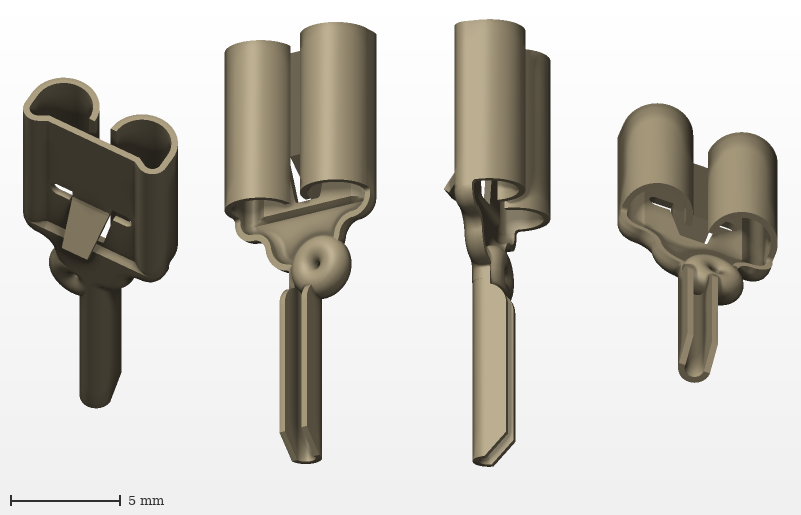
import cadquery as cq
import math

sheet = 0.3
half_width = 3.7
total_height = 20.0
barrel_bottom = 12.32
ramp_bottom = 12.08
pin_top = 8.6

corner_radius = 0.7
curl_radius = 1.65
curl_center_y = 1.35
floor_rise = 0.3
floor_half_width = 2.3
floor_slope = 30.0
lip_height = 1.0
lip_fillet = 0.18

shoulder_radius = 0.98
waist_radius = 0.7
bulge_radius = 1.48
throat_radius = 0.1
throat_z = 9.15

bead_radius = 0.72
bead_ring_radius = 0.78
bead_center_y = bead_radius

pin_width = 1.5
pin_radius = pin_width / 2
pin_depth = 1.78
pin_tip_chamfer_height = 1.08
pin_shoulder_z = 7.3
pin_shoulder_radius = 1.05

slot_z = 15.1
slot_height = 0.75
slot_reach = 2.15
hinge_half_width = 0.98
tab_tip_half_width = 0.65
tab_bend_y = 0.22
tab_bend_z = 14.95
tab_tip_z = 13.12
tab_tip_y = -1.2
window_top_half_width = 1.15
window_bottom_half_width = 0.65
window_bottom = 12.62
window_corner = 0.15

corner_x = half_width - corner_radius
curl_x = half_width - curl_radius


def polar(center, radius, degrees):
    angle = math.radians(degrees)
    return (center[0] + radius * math.cos(angle), center[1] + radius * math.sin(angle))


def mirrored(point):
    return (-point[0], point[1])


def bent_floor(sketch, rise, slope, inset, reverse):
    """Draw both wall feet, corners and slopes and the floor between; reverse runs right to left."""
    side = 1 if reverse else -1
    center = (corner_x, corner_radius)
    radius = corner_radius - inset
    wall_foot = (half_width - inset, corner_radius)
    corner_mid = polar(center, radius, -(90 + slope) / 2)
    corner_end = polar(center, radius, -90 - slope)
    floor_y = rise + inset
    if slope > 0:
        floor_x = corner_end[0] - (floor_y - corner_end[1]) / math.tan(math.radians(slope))
    else:
        floor_x = floor_half_width
    floor_end = (floor_x, floor_y)

    def near(point):
        return (side * point[0], point[1])

    def far(point):
        return (-side * point[0], point[1])

    return (
        sketch.lineTo(*near(wall_foot))
        .threePointArc(near(corner_mid), near(corner_end))
        .lineTo(*near(floor_end))
        .lineTo(*far(floor_end))
        .lineTo(*far(corner_end))
        .threePointArc(far(corner_mid), far(wall_foot))
    )


def at_height(z):
    return cq.Workplane("XY", origin=(0, 0, z))


def make_barrel():
    """Floor with two walls, each curled over by a half circle."""
    crest = curl_center_y + curl_radius
    inner_radius = curl_radius - sheet
    outer_end = curl_x - curl_radius
    inner_end = curl_x - inner_radius
    wall = half_width - sheet
    sketch = at_height(barrel_bottom).moveTo(-outer_end, curl_center_y)
    sketch = sketch.threePointArc((-curl_x, crest), (-half_width, curl_center_y))
    sketch = bent_floor(sketch, floor_rise, floor_slope, 0, False)
    sketch = sketch.lineTo(half_width, curl_center_y)
    sketch = sketch.threePointArc((curl_x, crest), (outer_end, curl_center_y))
    sketch = sketch.lineTo(inner_end, curl_center_y)
    sketch = sketch.threePointArc((curl_x, crest - sheet), (wall, curl_center_y))
    sketch = bent_floor(sketch, floor_rise, floor_slope, sheet, True)
    sketch = sketch.lineTo(-wall, curl_center_y)
    sketch = sketch.threePointArc((-curl_x, crest - sheet), (-inner_end, curl_center_y))
    return sketch.close().extrude(total_height - barrel_bottom)


def lipped_section(z, rise, slope):
    wall = half_width - sheet
    sketch = at_height(z).moveTo(-half_width, lip_height)
    sketch = bent_floor(sketch, rise, slope, 0, False)
    sketch = sketch.lineTo(half_width, lip_height).lineTo(wall, lip_height)
    sketch = bent_floor(sketch, rise, slope, sheet, True)
    return sketch.lineTo(-wall, lip_height).close().val()


def make_ramp():
    """Short run where the raised barrel floor drops to the level of the neck."""
    sections = [
        lipped_section(ramp_bottom, 0, 0),
        lipped_section(barrel_bottom, floor_rise, floor_slope),
    ]
    ramp = cq.Workplane(cq.Solid.makeLoft(sections, True))
    web = (
        cq.Workplane("YZ", origin=(-half_width, 0, 0))
        .moveTo(lip_height, barrel_bottom)
        .lineTo(lip_height + lip_fillet, barrel_bottom)
        .radiusArc((lip_height, barrel_bottom - lip_fillet), -lip_fillet)
        .close()
        .extrude(sheet)
    )
    return ramp.union(web).union(web.mirror("YZ"))


def bulge_center(waist, throat):
    """Centre of the bulge round that touches both the waist and the throat rounds."""
    to_waist = bulge_radius + waist_radius
    to_throat = bulge_radius + throat_radius
    dx = waist[0] - throat[0]
    dz = waist[1] - throat[1]
    span = math.hypot(dx, dz)
    along = (to_throat**2 - to_waist**2 + span**2) / (2 * span)
    across = math.sqrt(to_throat**2 - along**2)
    return (
        throat[0] + (along * dx - across * dz) / span,
        throat[1] + (along * dz + across * dx) / span,
    )


def neck_block(inset, floor_y):
    """Solid neck, with its front edge rounded, shrunk all round by the inset."""
    shoulder = (half_width - shoulder_radius, ramp_bottom)
    waist = (shoulder[0], ramp_bottom - shoulder_radius - waist_radius)
    throat = (pin_radius + throat_radius, throat_z)
    bulge = bulge_center(waist, throat)
    waist_angle = math.degrees(math.atan2(bulge[1] - waist[1], bulge[0] - waist[0]))
    throat_angle = math.degrees(math.atan2(bulge[1] - throat[1], bulge[0] - throat[0]))
    rounds = [
        (shoulder, shoulder_radius - inset, 0, -90),
        (waist, waist_radius + inset, 90, waist_angle),
        (bulge, bulge_radius - inset, waist_angle - 180, throat_angle - 180),
        (throat, throat_radius + inset, throat_angle, 180),
    ]
    arcs = []
    for center, radius, start, end in rounds:
        arcs.append([polar(center, radius, a) for a in (start, (start + end) / 2, end)])

    outline = cq.Workplane("XZ", origin=(0, floor_y, 0)).moveTo(*arcs[0][0])
    for _, middle, end in arcs:
        outline = outline.threePointArc(middle, end)
    outline = outline.lineTo(pin_radius - inset, pin_top)
    outline = outline.lineTo(inset - pin_radius, pin_top)
    outline = outline.lineTo(*mirrored(arcs[-1][2]))
    for start, middle, _ in reversed(arcs):
        outline = outline.threePointArc(mirrored(middle), mirrored(start))
    block = outline.close().extrude(floor_y - lip_height)
    side_edges = block.faces("<Y").edges("not(<Z or >Z)")
    return side_edges.fillet(corner_radius - inset)


def make_neck():
    return neck_block(0, 0).cut(neck_block(sheet, sheet))


def make_bead():
    """Round bead that circles the left throat of the neck."""
    center = cq.Vector(-pin_radius - throat_radius, bead_center_y, throat_z)
    return cq.Workplane(cq.Solid.makeTorus(bead_ring_radius, bead_radius, center, cq.Vector(0, 1, 0)))


def make_pin():
    """U channel with two walls, sloped at the tip and rounded down to the lips at the top."""
    bore = pin_radius - sheet
    channel = (
        cq.Workplane("XY")
        .moveTo(-pin_radius, pin_depth)
        .lineTo(-pin_radius, pin_radius)
        .threePointArc((0, 0), (pin_radius, pin_radius))
        .lineTo(pin_radius, pin_depth)
        .lineTo(bore, pin_depth)
        .lineTo(bore, pin_radius)
        .threePointArc((0, sheet), (-bore, pin_radius))
        .lineTo(-bore, pin_depth)
        .close()
        .extrude(pin_top)
    )
    across = pin_shoulder_radius - (pin_depth - lip_height)
    shoulder_end_z = pin_shoulder_z + math.sqrt(pin_shoulder_radius**2 - across**2)
    side = (
        cq.Workplane("YZ", origin=(-pin_radius, 0, 0))
        .lineTo(pin_radius, 0)
        .lineTo(pin_depth, pin_tip_chamfer_height)
        .lineTo(pin_depth, pin_shoulder_z)
        .radiusArc((lip_height, shoulder_end_z), -pin_shoulder_radius)
        .lineTo(lip_height, pin_top)
        .lineTo(0, pin_top)
        .close()
        .extrude(pin_width)
    )
    return channel.intersect(side)


def make_cutout():
    """Window around the tab, with a round-ended slot on each side of the hinge."""
    slot_bottom = slot_z - slot_height / 2
    front = cq.Workplane("XZ")
    window = (
        front.polyline(
            [
                (-window_top_half_width, slot_bottom),
                (window_top_half_width, slot_bottom),
                (window_bottom_half_width, window_bottom),
                (-window_bottom_half_width, window_bottom),
            ]
        )
        .close()
        .extrude(-lip_height)
        .edges("|Y and <Z")
        .fillet(window_corner)
    )
    hinge_gap = (
        front.center(0, (slot_bottom + slot_z) / 2)
        .rect(2 * hinge_half_width, slot_z - slot_bottom)
        .extrude(-lip_height)
    )
    end_radius = slot_height / 2
    slot = (
        front.moveTo(hinge_half_width, slot_bottom)
        .lineTo(slot_reach - end_radius, slot_bottom)
        .threePointArc((slot_reach, slot_z), (slot_reach - end_radius, slot_bottom + slot_height))
        .lineTo(hinge_half_width, slot_bottom + slot_height)
        .close()
        .extrude(-lip_height)
    )
    return window.union(hinge_gap).union(slot).union(slot.mirror("YZ"))


def make_tab():
    """Tapered tongue bent forward out of the barrel floor."""
    run = tab_bend_y - tab_tip_y
    drop = tab_bend_z - tab_tip_z
    length = math.hypot(run, drop)
    back_tip_y = tab_tip_y + sheet * drop / length
    back_tip_z = tab_tip_z - sheet * run / length
    back_y = floor_rise + sheet
    back_z = back_tip_z + (back_y - back_tip_y) * drop / run
    strip = (
        cq.Workplane("YZ", origin=(-hinge_half_width, 0, 0))
        .polyline(
            [
                (floor_rise, slot_z),
                (tab_bend_y, tab_bend_z),
                (tab_tip_y, tab_tip_z),
                (back_tip_y, back_tip_z),
                (back_y, back_z),
                (back_y, slot_z),
            ]
        )
        .close()
        .extrude(2 * hinge_half_width)
    )
    taper = (
        cq.Workplane("XZ", origin=(0, back_y, 0))
        .polyline(
            [
                (-hinge_half_width, slot_z),
                (hinge_half_width, slot_z),
                (tab_tip_half_width, back_tip_z),
                (-tab_tip_half_width, back_tip_z),
            ]
        )
        .close()
        .extrude(back_y - tab_tip_y)
    )
    return strip.intersect(taper)


result = (
    make_barrel()
    .cut(make_cutout())
    .union(make_tab())
    .union(make_ramp())
    .union(make_neck())
    .union(make_pin())
    .union(make_bead())
)